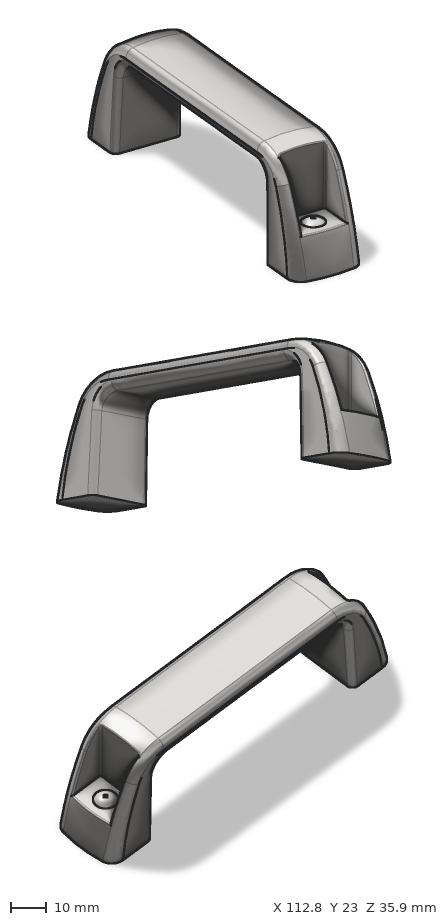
import math

import cadquery as cq

LENGTH = 112.81
BASE_WIDTH = 23.0
HEIGHT = 35.92

BAR_BOTTOM = 29.25
BAR_HALF_LENGTH = 34.3
SIDE_SLOPE = 0.0238

SHOULDER_RADIUS = 14.7
SHOULDER_ANGLE = math.radians(65.5)
CROWN_RADIUS = 50.0

INNER_FOOT_X = 39.5
INNER_LEAN = 0.042
INNER_RADIUS = 5.3

TOP_EDGE = (8.35, 3.0)
SHOULDER_EDGE = (8.3, 2.9)
BASE_EDGE = (7.7, 4.8)
UNDERSIDE_EDGE = (2.6, 3.1)
INNER_FOOT_EDGE = (2.0, 2.0)
QUARTER_ROUND = 0.5523

POCKET_FLOOR = 12.9
POCKET_BACK_X = 41.4
POCKET_HALF_WIDTH = 7.4
POCKET_DRAFT = 1.0
POCKET_CORNER_RADIUS = 0.7
POCKET_RIM_RADIUS = 0.5
POCKET_ZONE_HALF_WIDTH = 8.0

SCREW_X = 46.8
SCREW_DIAMETER = 7.1
SCREW_HEIGHT = 1.35
SCREW_SINK = 0.5
DIMPLE_DIAMETER = 1.2
DIMPLE_DEPTH = 0.8

MARGIN = 3.0


def half_width(z):
    return BASE_WIDTH / 2 - SIDE_SLOPE * z


def polar(center, radius, angle):
    """Point on a circle in the XZ plane; the angle runs from +Z towards -X."""
    return (center[0] - radius * math.sin(angle), center[1] + radius * math.cos(angle))


def tangent_radius(start, angle, end):
    """Radius of the arc that leaves start along the angle and passes through end."""
    chord_x = end[0] - start[0]
    chord_z = end[1] - start[1]
    towards_center = chord_x * math.sin(angle) - chord_z * math.cos(angle)
    return (chord_x**2 + chord_z**2) / (2 * towards_center)


SHOULDER_CENTER = (-BAR_HALF_LENGTH, HEIGHT - SHOULDER_RADIUS)
SHOULDER_END = polar(SHOULDER_CENTER, SHOULDER_RADIUS, SHOULDER_ANGLE)
LEG_RADIUS = tangent_radius(SHOULDER_END, SHOULDER_ANGLE, (-LENGTH / 2, 0))
LEG_CENTER = polar(SHOULDER_END, -LEG_RADIUS, SHOULDER_ANGLE)
LEG_END_ANGLE = math.pi / 2 + math.asin((LEG_CENTER[1] + MARGIN) / LEG_RADIUS)

BAR_TOP_END = (-BAR_HALF_LENGTH, HEIGHT)

INNER_ANGLE = math.pi / 2 - math.atan(INNER_LEAN)
INNER_CENTER_Z = BAR_BOTTOM - INNER_RADIUS
INNER_CENTER_X = -INNER_FOOT_X + INNER_LEAN * INNER_CENTER_Z + INNER_RADIUS / math.sin(INNER_ANGLE)
INNER_CENTER = (INNER_CENTER_X, INNER_CENTER_Z)
INNER_ARC_END = polar(INNER_CENTER, INNER_RADIUS, INNER_ANGLE)
BAR_BOTTOM_END = (INNER_CENTER_X, BAR_BOTTOM)
INNER_FOOT_END = (-INNER_FOOT_X - INNER_LEAN * MARGIN, -MARGIN)


def outer_arcs(outline, growth):
    """Append the shoulder and leg arcs, offset outwards by growth."""
    shoulder = SHOULDER_RADIUS + growth
    leg = LEG_RADIUS + growth
    leg_middle_angle = (SHOULDER_ANGLE + LEG_END_ANGLE) / 2
    outline = outline.threePointArc(
        polar(SHOULDER_CENTER, shoulder, SHOULDER_ANGLE / 2),
        polar(SHOULDER_CENTER, shoulder, SHOULDER_ANGLE),
    )
    return outline.threePointArc(
        polar(LEG_CENTER, leg, leg_middle_angle),
        polar(LEG_CENTER, leg, LEG_END_ANGLE),
    )


def inner_arc(outline):
    return outline.threePointArc(
        polar(INNER_CENTER, INNER_RADIUS, INNER_ANGLE / 2),
        INNER_ARC_END,
    )


def make_blank():
    """Left half of the handle, oversized on the outer surface, with tapered sides."""
    growth = MARGIN / 2
    outline = cq.Workplane("XZ").moveTo(0, HEIGHT + growth).lineTo(-BAR_HALF_LENGTH, HEIGHT + growth)
    outline = outer_arcs(outline, growth).lineTo(*INNER_FOOT_END).lineTo(*INNER_ARC_END)
    outline = outline.threePointArc(polar(INNER_CENTER, INNER_RADIUS, INNER_ANGLE / 2), BAR_BOTTOM_END)
    body = outline.lineTo(0, BAR_BOTTOM).close().extrude(BASE_WIDTH / 2, both=True)

    top = HEIGHT + MARGIN
    taper = (
        cq.Workplane("YZ")
        .polyline([
            (-half_width(0), 0),
            (half_width(0), 0),
            (half_width(top), top),
            (-half_width(top), top),
        ])
        .close()
        .extrude(-LENGTH)
    )
    return body.intersect(taper)


def section_plane(point, angle, facing):
    """Plane across the handle; its local y points away from the surface."""
    normal = (-math.cos(angle), 0, -math.sin(angle))
    return cq.Plane(origin=(point[0], 0, point[1]), xDir=(0, facing, 0), normal=normal)


def shaving_section(work, side, half_flat, depth, crown=None):
    """Outline of the material outside a surface, flat or crowned, with two rounded long edges."""
    sag = 0
    slope = 0
    if crown:
        sag = crown - math.sqrt(crown**2 - half_flat**2)
        slope = half_flat / (crown - sag)
    flat_handle = QUARTER_ROUND * (side - half_flat)
    depth_handle = QUARTER_ROUND * depth
    low = -sag - depth

    def rounding(sign):
        return [
            (sign * side, low),
            (sign * side, low + depth_handle),
            (sign * (half_flat + flat_handle), -sag - slope * flat_handle),
            (sign * half_flat, -sag),
        ]

    work = work.moveTo(-side - MARGIN, low).lineTo(-side, low).bezier(rounding(-1))
    if crown:
        work = work.threePointArc((0, 0), (half_flat, -sag))
    else:
        work = work.lineTo(half_flat, 0)
    work = work.bezier(rounding(1)[::-1]).lineTo(side + MARGIN, low)
    return work.lineTo(side + MARGIN, MARGIN).lineTo(-side - MARGIN, MARGIN).close()


def outer_section(point, angle, edge):
    half_flat, depth = edge
    side = half_width(point[1] - depth * math.cos(angle))
    work = cq.Workplane(section_plane(point, angle, -1))
    return shaving_section(work, side, half_flat, depth, CROWN_RADIUS)


def inner_section(point, angle, edge):
    inset, depth = edge
    side = half_width(point[1] + depth * math.cos(angle))
    work = cq.Workplane(section_plane(point, angle, 1))
    return shaving_section(work, side, side - inset, depth)


def sweep_sections(sections, path):
    """Solid that blends through the sections along the path."""
    wires = [section.val() for section in sections]
    return cq.Workplane(cq.Solid.sweep_multi(wires, path.wire().val()))


def make_outer_leg_shaving():
    """Cutting body that leaves the crowned outer leg surface; its edge rounding grows downwards."""
    leg_end = polar(LEG_CENTER, LEG_RADIUS, LEG_END_ANGLE)
    sections = [
        outer_section(BAR_TOP_END, 0, TOP_EDGE),
        outer_section(SHOULDER_END, SHOULDER_ANGLE, SHOULDER_EDGE),
        outer_section(leg_end, LEG_END_ANGLE, BASE_EDGE),
    ]
    path = outer_arcs(cq.Workplane("XZ").moveTo(*BAR_TOP_END), 0)
    return sweep_sections(sections, path)


def make_inner_leg_shavings():
    """Cutting bodies that round the edges of the inner bend and of the straight inner leg face."""
    bar_section = inner_section(BAR_BOTTOM_END, 0, UNDERSIDE_EDGE)
    bend_section = inner_section(INNER_ARC_END, INNER_ANGLE, INNER_FOOT_EDGE)
    foot_section = inner_section(INNER_FOOT_END, INNER_ANGLE, INNER_FOOT_EDGE)
    bend_path = inner_arc(cq.Workplane("XZ").moveTo(*BAR_BOTTOM_END))
    foot_path = cq.Workplane("XZ").moveTo(*INNER_ARC_END).lineTo(*INNER_FOOT_END)
    return [
        sweep_sections([bar_section, bend_section], bend_path),
        sweep_sections([bend_section, foot_section], foot_path),
    ]


def make_bar_shavings():
    """Cutting bodies along the straight bar, for its crowned top and its underside."""
    top = outer_section(BAR_TOP_END, 0, TOP_EDGE).extrude(2 * BAR_TOP_END[0])
    underside = inner_section(BAR_BOTTOM_END, 0, UNDERSIDE_EDGE).extrude(2 * BAR_BOTTOM_END[0])
    return [top, underside]


def make_pocket():
    """Drafted pocket, open upwards and outwards, above the screw seat."""
    height = HEIGHT - POCKET_FLOOR
    spread = height * math.tan(math.radians(POCKET_DRAFT))
    mouth_back = -POCKET_BACK_X + spread
    mouth_front = -LENGTH / 2 - MARGIN
    return (
        cq.Workplane("XY")
        .workplane(offset=HEIGHT)
        .center((mouth_back + mouth_front) / 2, 0)
        .rect(mouth_back - mouth_front, 2 * (POCKET_HALF_WIDTH + spread))
        .extrude(-height, taper=POCKET_DRAFT)
        .faces(">X")
        .edges("not |Y")
        .fillet(POCKET_CORNER_RADIUS)
    )


def make_screw_head():
    """Spherical cap standing on the pocket floor."""
    rim = SCREW_DIAMETER / 2
    cap_radius = (rim**2 + SCREW_HEIGHT**2) / (2 * SCREW_HEIGHT)
    cap_center_z = POCKET_FLOOR + SCREW_HEIGHT - cap_radius
    ball = cq.Workplane("XY").sphere(cap_radius).translate((-SCREW_X, 0, cap_center_z))
    keep = cq.Workplane("XY").circle(SCREW_DIAMETER).extrude(HEIGHT)
    return ball.intersect(keep.translate((-SCREW_X, 0, POCKET_FLOOR - SCREW_SINK)))


def make_screw_dimple():
    """Small blind hole in the middle of the screw head."""
    return (
        cq.Workplane("XY")
        .workplane(offset=POCKET_FLOOR + SCREW_HEIGHT - DIMPLE_DEPTH)
        .center(-SCREW_X, 0)
        .circle(DIMPLE_DIAMETER / 2)
        .extrude(2 * DIMPLE_DEPTH)
    )


def soften_pocket_mouth(leg):
    """Round the edge where the pocket walls and floor meet the outer surface."""
    pocket_zone = cq.selectors.BoxSelector(
        (-LENGTH / 2, -POCKET_ZONE_HALF_WIDTH, POCKET_FLOOR - POCKET_RIM_RADIUS),
        (-POCKET_BACK_X + POCKET_RIM_RADIUS, POCKET_ZONE_HALF_WIDTH, HEIGHT),
        boundingbox=True,
    )
    return leg.edges(pocket_zone).edges("%BSPLINE").fillet(POCKET_RIM_RADIUS)


half = make_blank()
for leg_shaving in (make_outer_leg_shaving(), *make_inner_leg_shavings()):
    half = half.cut(leg_shaving)
half = soften_pocket_mouth(half.cut(make_pocket()))
half = half.union(make_screw_head()).cut(make_screw_dimple())

result = half.union(half.mirror("YZ")).clean()
for bar_shaving in make_bar_shavings():
    result = result.cut(bar_shaving)